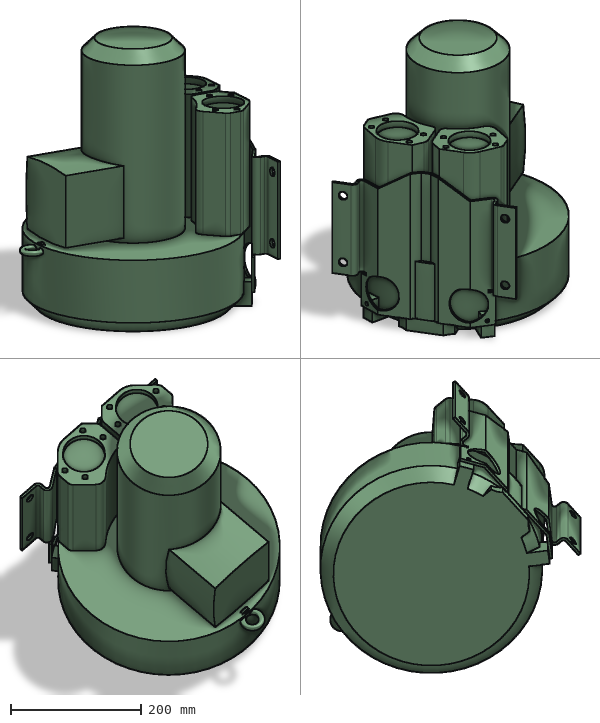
import cadquery as cq
import math

CASING_RADIUS = 170.5
CASING_HEIGHT = 120.5
CASING_CHAMFER = 20.0
MOTOR_RADIUS = 79.5
MOTOR_TOP = 426.0
MOTOR_CHAMFER = 20.0

BOX_FRONT_Y = -155.5
BOX_CENTER_Z = 186.0
BOX_HALF_HEIGHT = 58.0
BOX_HALF_WIDTH = 60.0
BOX_SIDE_BULGE = 3.5
BOX_TOP_BULGE = 4.0

PORT_TOP = 318.2
PORT_INNER_X = 3.5
PORT_OUTER_X = 112.5
PORT_REAR_Y = 166.5
PORT_REAR_CORNER_X = 21.7
PORT_FRONT_CORNER_Y = 102.5
PORT_MOTOR_GAP = 18.0
PORT_FILLET = 10.0
PORT_TIP_FILLET = 15.0
PORT_REAR_FILLET = 33.2
PORT_CENTER = (58.0, 126.0)
PORT_POCKET_RADIUS = 32.5
PORT_POCKET_DEPTH = 10.5
PORT_BOLT_CIRCLE = 41.7
PORT_BOLT_ANGLES = (0, 133, 180, 313)
PORT_BOLT_RADIUS = 4.3
PORT_BOLT_DEPTH = 20.0

SHEET = 4.3
FLANGE_END_X = 148.0
FLANGE_Y = 175.0 - SHEET / 2
WEB_X = 111.0
SLANT_ANGLE = 33.0
WING_BEND_X = 73.5
PLATE_Y = 172.0
WING_LENGTH = 39.0
WING_TONGUE_TOP = 78.5
WING_NECK_X = 98.0
DIP_Y = 162.7
DIP_HALF_WIDTH = 8.5
BRACKET_BEND_RADIUS = 4.3
BRACKET_BOTTOM = 22.0
PLATE_TOP = 272.0
FLANGE_BOTTOM = 83.0
FLANGE_TOP = 239.5
FLANGE_HOLE_X = 130.5
FLANGE_HOLE_RADIUS = 7.0
FLANGE_HOLE_INSET = 21.0
WINDOW_X = 69.5
WINDOW_Z = 59.0
WINDOW_RADIUS = 29.0
SCREW_RADIUS = 3.0
SCREW_Z = 30.2
SCREW_FROM_END = 13.0
THROUGH = -2 * CASING_RADIUS

WING_SLOPE = math.radians(SLANT_ANGLE)
WING_END = (
    WING_BEND_X - SHEET / 2 * math.tan(WING_SLOPE / 2) + WING_LENGTH * math.cos(WING_SLOPE),
    PLATE_Y - SHEET / 2 - WING_LENGTH * math.sin(WING_SLOPE),
)

FOOT_HEIGHT = 39.0
FOOT_LENGTH = 22.0
FOOT_DEPTH = 51.0
REAR_FOOT_Y = 170.5
REAR_FOOT_FRONT_Y = 128.0
REAR_FOOT_HALF_WIDTH = 30.0
REAR_FOOT_FLARE_Y = 160.0
REAR_FOOT_FLARE = 15.5
REAR_FOOT_HOLLOW = 6.0

EYE_Y = -179.8
EYE_Z = CASING_HEIGHT - 8.5
EYE_RING_RADIUS = 14.5
EYE_TUBE_RADIUS = 4.5
COLLAR_RADIUS = 10.5
COLLAR_REAR_Y = -161.0
COLLAR_LENGTH = 4.5
COLLAR_TAPER = 2.5


def both_sides(shape):
    """A shape on the +X side together with its mirror image."""
    return shape.union(shape.mirror("YZ"))


def make_port():
    """Port column on the +X side, without its base casing."""
    arc_radius = MOTOR_RADIUS + PORT_MOTOR_GAP
    inner_rear_y = PORT_REAR_Y - (PORT_REAR_CORNER_X - PORT_INNER_X)
    bevel_sum = CASING_RADIUS * math.sqrt(2)
    rear_outer = (bevel_sum - PORT_REAR_Y, PORT_REAR_Y)
    bevel_offset = PORT_OUTER_X - PORT_FRONT_CORNER_Y
    tip_x = (bevel_offset + math.sqrt(2 * arc_radius**2 - bevel_offset**2)) / 2
    tip = (tip_x, tip_x - bevel_offset)
    inner_front = (PORT_INNER_X, math.sqrt(arc_radius**2 - PORT_INNER_X**2))
    mid_angle = (math.atan2(tip[1], tip[0]) + math.atan2(inner_front[1], inner_front[0])) / 2
    arc_middle = (arc_radius * math.cos(mid_angle), arc_radius * math.sin(mid_angle))

    port = (
        cq.Workplane("XY", origin=(0, 0, CASING_HEIGHT))
        .moveTo(*inner_front)
        .lineTo(PORT_INNER_X, inner_rear_y)
        .lineTo(PORT_REAR_CORNER_X, PORT_REAR_Y)
        .lineTo(*rear_outer)
        .lineTo(PORT_OUTER_X, bevel_sum - PORT_OUTER_X)
        .lineTo(PORT_OUTER_X, PORT_FRONT_CORNER_Y)
        .lineTo(*tip)
        .threePointArc(arc_middle, inner_front)
        .close()
        .extrude(PORT_TOP - CASING_HEIGHT)
    )
    middle_z = (CASING_HEIGHT + PORT_TOP) / 2

    def corner(x, y):
        return cq.selectors.NearestToPointSelector((x, y, middle_z))

    rounded = (
        (inner_front, PORT_FILLET),
        ((PORT_INNER_X, inner_rear_y), PORT_TIP_FILLET),
        (rear_outer, PORT_REAR_FILLET),
        ((PORT_OUTER_X, bevel_sum - PORT_OUTER_X), PORT_FILLET),
        ((PORT_OUTER_X, PORT_FRONT_CORNER_Y), PORT_FILLET),
        (tip, PORT_TIP_FILLET),
    )
    for point, radius in rounded:
        port = port.edges(corner(*point)).fillet(radius)

    top = cq.Workplane("XY", origin=(*PORT_CENTER, PORT_TOP))
    port = port.cut(top.circle(PORT_POCKET_RADIUS).extrude(-PORT_POCKET_DEPTH))
    bolt_points = [
        (PORT_BOLT_CIRCLE * math.cos(math.radians(a)), PORT_BOLT_CIRCLE * math.sin(math.radians(a)))
        for a in PORT_BOLT_ANGLES
    ]
    return port.cut(top.pushPoints(bolt_points).circle(PORT_BOLT_RADIUS).extrude(-PORT_BOLT_DEPTH))


def make_terminal_box():
    left = -(BOX_HALF_WIDTH - BOX_SIDE_BULGE)
    right = BOX_HALF_WIDTH
    crown = BOX_HALF_HEIGHT + BOX_TOP_BULGE
    middle = (left + right) / 2
    return (
        cq.Workplane("XZ", origin=(0, BOX_FRONT_Y, BOX_CENTER_Z))
        .moveTo(right, -BOX_HALF_HEIGHT)
        .lineTo(right, BOX_HALF_HEIGHT)
        .threePointArc((middle, crown), (left, BOX_HALF_HEIGHT))
        .threePointArc((-BOX_HALF_WIDTH, 0), (left, -BOX_HALF_HEIGHT))
        .threePointArc((middle, -crown), (right, -BOX_HALF_HEIGHT))
        .close()
        .extrude(BOX_FRONT_Y)
    )


def wing_block(start, length, inward, outward, bottom, top):
    """Block on the +X wing: 'start' and 'length' count from the wing's lower end towards X = 0,
    'inward' and 'outward' are its reach to either side of the wing's inner face."""
    return (
        cq.Workplane("XY")
        .box(length, inward + outward, top - bottom, centered=False)
        .translate((-start - length, -inward, bottom))
        .rotate((0, 0, 0), (0, 0, 1), -SLANT_ANGLE)
        .translate((*WING_END, 0))
    )


def make_rear_foot():
    """Low foot at the rear with hollow sides, under the bracket's rear plate."""
    half = REAR_FOOT_HALF_WIDTH
    wide = half + REAR_FOOT_FLARE
    hollow = (half + REAR_FOOT_HOLLOW, (REAR_FOOT_Y + REAR_FOOT_FLARE_Y) / 2)
    return (
        cq.Workplane("XY")
        .moveTo(-half, REAR_FOOT_Y)
        .lineTo(half, REAR_FOOT_Y)
        .threePointArc(hollow, (wide, REAR_FOOT_FLARE_Y))
        .lineTo(wide, REAR_FOOT_FRONT_Y)
        .lineTo(-wide, REAR_FOOT_FRONT_Y)
        .lineTo(-wide, REAR_FOOT_FLARE_Y)
        .threePointArc((-hollow[0], hollow[1]), (-half, REAR_FOOT_Y))
        .close()
        .extrude(BRACKET_BOTTOM)
    )


def make_housing():
    casing = cq.Workplane("XY").circle(CASING_RADIUS).extrude(CASING_HEIGHT)
    casing = casing.faces("<Z").chamfer(CASING_CHAMFER)
    motor = (
        cq.Workplane("XY", origin=(0, 0, CASING_HEIGHT))
        .circle(MOTOR_RADIUS)
        .extrude(MOTOR_TOP - CASING_HEIGHT)
        .faces(">Z")
        .chamfer(MOTOR_CHAMFER)
    )
    side_foot = wing_block(0, FOOT_LENGTH, FOOT_DEPTH, 0, 0, FOOT_HEIGHT)
    housing = casing.union(motor).union(make_terminal_box())
    housing = housing.union(both_sides(make_port()))
    return housing.union(both_sides(side_foot)).union(make_rear_foot())


def offset_line(points, distance):
    """Mitred parallel of an open polyline, 'distance' to the left of its direction."""
    angles = [math.atan2(q[1] - p[1], q[0] - p[0]) for p, q in zip(points, points[1:])]
    before = angles[:1] + angles
    after = angles + angles[-1:]
    shifted = []
    for (x, y), a, b in zip(points, before, after):
        middle = (a + b) / 2
        reach = distance / math.cos((b - a) / 2)
        shifted.append((x - reach * math.sin(middle), y + reach * math.cos(middle)))
    return shifted


def make_bracket():
    slope = math.tan(WING_SLOPE)
    web_front_y = PLATE_Y - (WEB_X - WING_BEND_X) * slope
    dip_bend_x = DIP_HALF_WIDTH + (PLATE_Y - DIP_Y) / slope
    right_half = [
        (DIP_HALF_WIDTH, DIP_Y),
        (dip_bend_x, PLATE_Y),
        (WING_BEND_X, PLATE_Y),
        (WEB_X, web_front_y),
        (WEB_X, FLANGE_Y),
        (FLANGE_END_X, FLANGE_Y),
    ]
    path = [(-x, y) for x, y in reversed(right_half)] + right_half
    rear_line = offset_line(path, SHEET / 2)
    front_line = offset_line(path, -SHEET / 2)
    sheet = (
        cq.Workplane("XY", origin=(0, 0, BRACKET_BOTTOM))
        .polyline(rear_line + front_line[::-1])
        .close()
        .extrude(PLATE_TOP - BRACKET_BOTTOM)
    )

    middle_z = (BRACKET_BOTTOM + PLATE_TOP) / 2
    outside_radius = BRACKET_BEND_RADIUS + SHEET
    bend_front, bend_rear = -3, -2
    bends = (
        (rear_line[bend_front], BRACKET_BEND_RADIUS),
        (front_line[bend_front], outside_radius),
        (rear_line[bend_rear], outside_radius),
        (front_line[bend_rear], BRACKET_BEND_RADIUS),
    )
    for (x, y), radius in bends:
        for side in (1, -1):
            edge = cq.selectors.NearestToPointSelector((side * x, y, middle_z))
            sheet = sheet.edges(edge).fillet(radius)

    above_wing = (
        cq.Workplane("XZ")
        .moveTo(dip_bend_x, PLATE_TOP)
        .lineTo(WING_BEND_X, FLANGE_TOP)
        .lineTo(FLANGE_END_X, FLANGE_TOP)
        .lineTo(FLANGE_END_X, PLATE_TOP)
        .close()
        .extrude(THROUGH)
    )
    below_flange = (
        cq.Workplane("XY", origin=(WING_NECK_X, 0, BRACKET_BOTTOM))
        .rect(FLANGE_END_X, -THROUGH, centered=False)
        .extrude(FLANGE_BOTTOM - BRACKET_BOTTOM)
    )
    tongue = wing_block(0, WING_LENGTH / 2, 0, SHEET, BRACKET_BOTTOM, WING_TONGUE_TOP)
    sheet = sheet.cut(both_sides(above_wing)).cut(both_sides(below_flange)).union(both_sides(tongue))

    rear = cq.Workplane("XZ")
    flange_holes = [
        (side * FLANGE_HOLE_X, z)
        for side in (1, -1)
        for z in (FLANGE_BOTTOM + FLANGE_HOLE_INSET, FLANGE_TOP - FLANGE_HOLE_INSET)
    ]
    windows = [(side * WINDOW_X, WINDOW_Z) for side in (1, -1)]
    sheet = sheet.cut(rear.pushPoints(flange_holes).circle(FLANGE_HOLE_RADIUS).extrude(THROUGH))
    sheet = sheet.cut(rear.pushPoints(windows).circle(WINDOW_RADIUS).extrude(THROUGH))

    screw = (
        cq.Workplane("XZ")
        .center(-SCREW_FROM_END, SCREW_Z)
        .circle(SCREW_RADIUS)
        .extrude(2 * SHEET, both=True)
        .rotate((0, 0, 0), (0, 0, 1), -SLANT_ANGLE)
        .translate((*WING_END, 0))
    )
    return sheet.cut(screw).cut(screw.mirror("YZ"))


def make_eye_bolt():
    ring = cq.Workplane(
        cq.Solid.makeTorus(EYE_RING_RADIUS, EYE_TUBE_RADIUS, cq.Vector(0, EYE_Y, EYE_Z), cq.Vector(0, 0, 1))
    )
    collar = (
        cq.Workplane("XZ", origin=(0, COLLAR_REAR_Y, EYE_Z))
        .circle(COLLAR_RADIUS)
        .extrude(COLLAR_LENGTH + COLLAR_TAPER)
        .faces("<Y")
        .chamfer(COLLAR_TAPER)
    )
    return ring.union(collar)


bracket = make_bracket()
eye_bolt = make_eye_bolt()
housing = make_housing().cut(bracket).cut(eye_bolt)

result = cq.Compound.makeCompound([housing.val(), bracket.val(), eye_bolt.val()])